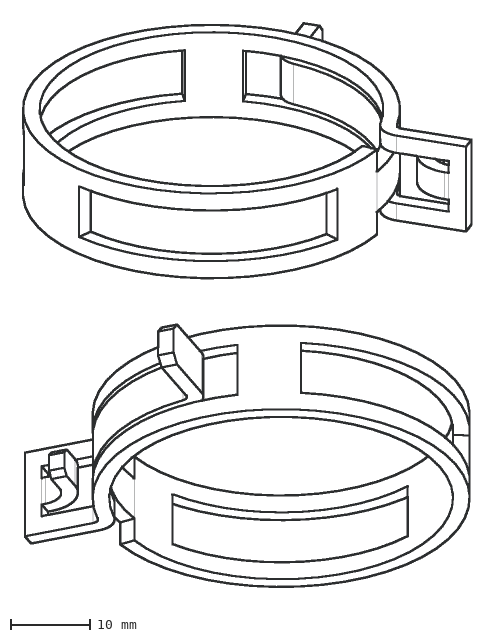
import cadquery as cq
import math

overall_depth = 50.25
outer_diameter = 47.7
outer_radius = outer_diameter / 2
thickness = 2.1
inner_radius = outer_radius - thickness
strip_width = 12.0
slot_width = 7.15
tongue_width = 5.75

tang_offset = 0.75
tang_tip = 33.9
tang_bend_radius = 1.0
tongue_chamfer = 1.15
fork_bridge = 2.3
slot_tang_end = tang_tip - fork_bridge
tang_angle = 45

tongue_start_angle = 36
slot_end_angle = 180 - tongue_start_angle
window_upper_angle = 16.5
window_lower_angle = 70
window_spans = [
    (180 - window_upper_angle, 180 + window_lower_angle),
    (360 - window_lower_angle, 360 + window_upper_angle),
]

hook_width = 3.8
hook_bend_radius = 3.15
hook_near_face = 25.75
hook_far_face = hook_near_face + thickness
hook_tip = (overall_depth - outer_radius) * math.sqrt(2) - hook_far_face
hook_chamfer = 0.8


def polar(radius, angle):
    """Point at a radius and an angle in degrees."""
    return (radius * math.cos(math.radians(angle)), radius * math.sin(math.radians(angle)))


def along_tang(distance, offset):
    """Point at a distance along the radial line at tang_angle and an offset to its left."""
    x, y = polar(distance, tang_angle)
    offset_x, offset_y = polar(offset, tang_angle + 90)
    return (x + offset_x, y + offset_y)


def arc_point(centre, radius, angle):
    """Point on an arc, seen from its centre at an angle in degrees."""
    x, y = polar(radius, angle)
    return (centre[0] + x, centre[1] + y)


def extrude_about_midplane(outline, width):
    return outline.close().extrude(width / 2, both=True)


def ring_sector(start_angle, end_angle, width):
    """Piece of the rolled ring between two angles."""
    middle_angle = (start_angle + end_angle) / 2
    outline = (
        cq.Workplane("XY")
        .moveTo(*polar(outer_radius, start_angle))
        .threePointArc(polar(outer_radius, middle_angle), polar(outer_radius, end_angle))
        .lineTo(*polar(inner_radius, end_angle))
        .threePointArc(polar(inner_radius, middle_angle), polar(inner_radius, start_angle))
    )
    return extrude_about_midplane(outline, width)


def strip_with_tang(end_angle, width, tang_length=tang_tip):
    """Tang at 45 degrees, bent into a ring that runs counter-clockwise to end_angle."""
    far_offset = tang_offset + thickness
    centre_offset = far_offset + tang_bend_radius
    centre_radius = outer_radius + tang_bend_radius
    bend_turn = math.degrees(math.asin(centre_offset / centre_radius))
    bend_angle = tang_angle + bend_turn
    bend_start = math.sqrt(centre_radius**2 - centre_offset**2)
    bend_centre = along_tang(bend_start, centre_offset)
    bend_middle = ((tang_angle - 90) + (bend_angle - 180)) / 2
    outer_bend_radius = tang_bend_radius + thickness
    ring_middle = (bend_angle + end_angle) / 2

    outline = (
        cq.Workplane("XY")
        .moveTo(*along_tang(tang_length, tang_offset))
        .lineTo(*along_tang(tang_length, far_offset))
        .lineTo(*along_tang(bend_start, far_offset))
        .threePointArc(
            arc_point(bend_centre, tang_bend_radius, bend_middle),
            polar(outer_radius, bend_angle),
        )
        .threePointArc(polar(outer_radius, ring_middle), polar(outer_radius, end_angle))
        .lineTo(*polar(inner_radius, end_angle))
        .threePointArc(polar(inner_radius, ring_middle), polar(inner_radius, bend_angle))
        .threePointArc(
            arc_point(bend_centre, outer_bend_radius, bend_middle),
            along_tang(bend_start, tang_offset),
        )
    )
    return extrude_about_midplane(outline, width)


def chamfer_tip(body, tip_direction, edge_direction, size):
    """Chamfer the two corners of a strip's tip."""
    return body.faces(">" + tip_direction).edges("|" + edge_direction).chamfer(size)


def forked_strip():
    """Full-width strip, slotted for the tongue and opened by two windows."""
    strip = strip_with_tang(360 + tongue_start_angle, strip_width)
    strip = strip.cut(strip_with_tang(slot_end_angle, slot_width, slot_tang_end))
    for start_angle, end_angle in window_spans:
        strip = strip.cut(ring_sector(start_angle, end_angle, slot_width))
    return strip


def tongue():
    """Narrow end of the strip with its tang at 135 degrees."""
    body = strip_with_tang(slot_end_angle, tongue_width)
    return chamfer_tip(body, "(1,1,0)", "(-1,1,0)", tongue_chamfer).mirror("YZ")


def hook():
    """Lanced tab that leaves the slot end along the tang and curls through 90 degrees."""
    tang_far_offset = tang_offset + thickness
    centre_distance = hook_far_face + hook_bend_radius
    centre_offset = tang_far_offset + hook_bend_radius
    centre = along_tang(centre_distance, centre_offset)
    bend_middle = (tang_angle - 90) - 90 / 2
    outline = (
        cq.Workplane("XY")
        .moveTo(*along_tang(slot_tang_end, tang_offset))
        .lineTo(*along_tang(slot_tang_end, tang_far_offset))
        .lineTo(*along_tang(centre_distance, tang_far_offset))
        .threePointArc(
            arc_point(centre, hook_bend_radius, bend_middle),
            along_tang(hook_far_face, centre_offset),
        )
        .lineTo(*along_tang(hook_far_face, hook_tip))
        .lineTo(*along_tang(hook_near_face, hook_tip))
        .lineTo(*along_tang(hook_near_face, centre_offset))
        .threePointArc(
            arc_point(centre, hook_bend_radius + thickness, bend_middle),
            along_tang(centre_distance, tang_offset),
        )
    )
    body = extrude_about_midplane(outline, hook_width)
    return chamfer_tip(body, "(-1,1,0)", "(1,1,0)", hook_chamfer)


result = forked_strip().union(tongue(), clean=False).union(hook(), clean=False)